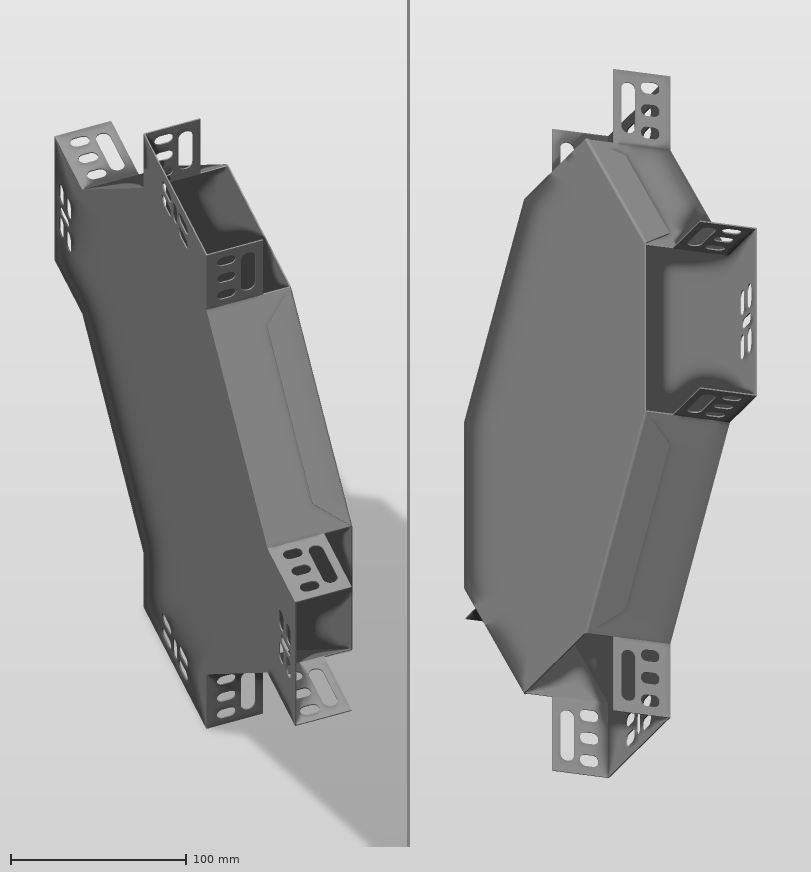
import cadquery as cq
import math


span = 391.5
total_depth = 51.5
sheet = 0.8
arm_width = 102.5
arm_length = 45.0
flange_depth = 34.5
skirt_depth = 19.5
lid_bend_radius = 1.5
skirt_inset = 18.0

floor_slot_length = 15.0
floor_slot_width = 7.5
floor_slot_pitch_across = 27.0
floor_slot_rows = (11.0, 22.7)
middle_slot_width = 6.3
middle_slot_setback = 15.5

long_slot_length = 31.0
long_slot_width = 8.5
long_slot_height = 25.5
short_slot_length = 11.5
short_slot_width = 7.0
short_slot_height = 12.0
short_slot_pitch = 13.7

arm_end = span / 2
arm_half = arm_width / 2
bend = arm_end - arm_length
tray_depth = total_depth - sheet
wall_length = math.sqrt(2) * (bend - arm_half)
wall_distance = (bend + arm_half) / math.sqrt(2)
inner_half = arm_half - sheet
inner_bend = bend - sheet * math.tan(math.radians(22.5))
quarter_turns = (0, 90, 180, 270)


def turned(body, angle):
    return body.rotate((0, 0, 0), (0, 1, 0), angle)


def prism(points, depth):
    """Extrude an X-Z outline from Y = 0 toward +Y."""
    return cq.Workplane("XZ").polyline(points).close().extrude(-depth)


def octagon_points(reach, half):
    return [
        (half, reach), (reach, half), (reach, -half), (half, -reach),
        (-half, -reach), (-reach, -half), (-reach, half), (-half, reach),
    ]


def cross_prism(half, corner, depth):
    """Octagon with a straight arm on each of its four upright and level sides."""
    cross = prism(octagon_points(corner, half), depth)
    for size in ((2 * half, span), (span, 2 * half)):
        cross = cross.union(cq.Workplane("XZ").rect(*size).extrude(-depth))
    return cross


def side_strip(depth):
    """Strip of sheet along the sides of the cross, open at the four arm ends."""
    return cross_prism(arm_half, bend, depth).cut(cross_prism(inner_half, inner_bend, depth))


def floor_slot_cutter():
    """Four slots and one upright slot between them, at the +Z arm end."""
    spots = [
        (side * floor_slot_pitch_across / 2, arm_end - row)
        for side in (-1, 1)
        for row in floor_slot_rows
    ]
    cutter = cq.Workplane("XZ").pushPoints(spots).slot2D(floor_slot_length, floor_slot_width)
    cutter = cutter.extrude(-sheet)
    middle = cq.Workplane("XZ").center(0, arm_end - middle_slot_setback)
    return cutter.union(middle.slot2D(floor_slot_length, middle_slot_width, 90).extrude(-sheet))


def flange_slot_cutter():
    """One long and three short slots through both flanges of the +Z arm, midway along it."""
    group_z = arm_end - arm_length / 2
    short_spots = [(short_slot_height, group_z + step * short_slot_pitch) for step in (-1, 0, 1)]
    long_slot = cq.Workplane("YZ").center(long_slot_height, group_z)
    long_slot = long_slot.slot2D(long_slot_length, long_slot_width, 90).extrude(arm_half, both=True)
    short_slots = cq.Workplane("YZ").pushPoints(short_spots).slot2D(short_slot_length, short_slot_width)
    return long_slot.union(short_slots.extrude(arm_half, both=True))


def make_tray():
    floor = cross_prism(arm_half, bend, sheet)
    flanges = side_strip(flange_depth)
    walls = side_strip(tray_depth).intersect(prism(octagon_points(bend, arm_half), tray_depth))
    tray = floor.union(flanges).union(walls)
    for angle in quarter_turns:
        tray = tray.cut(turned(floor_slot_cutter(), angle))
        tray = tray.cut(turned(flange_slot_cutter(), angle))
    return tray


def lid_skirt():
    """Tapered skirt lying on the outside of a diagonal wall, built facing +Z and then turned."""
    half = wall_length / 2
    skirt_bottom = total_depth - skirt_depth
    outline = [
        (-half, total_depth), (-half, tray_depth), (skirt_inset - half, skirt_bottom),
        (half - skirt_inset, skirt_bottom), (half, tray_depth), (half, total_depth),
    ]
    skirt = cq.Workplane("XY").workplane(offset=wall_distance).polyline(outline).close()
    return turned(skirt.extrude(sheet), 45)


def make_lid():
    lid = prism(octagon_points(bend, arm_half), sheet).translate((0, tray_depth, 0))
    for angle in quarter_turns:
        lid = lid.union(turned(lid_skirt(), angle))
    bend_edges = lid.faces(">Y").edges(cq.selectors.LengthNthSelector(-1))
    return bend_edges.fillet(lid_bend_radius)


tray = make_tray()
lid = make_lid()

result = cq.Compound.makeCompound([tray.val(), lid.val()])